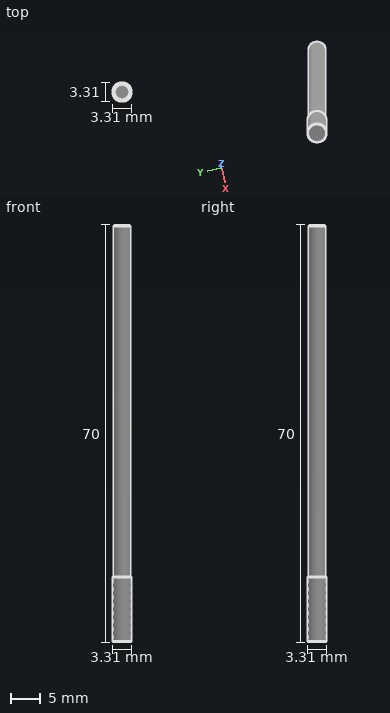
import cadquery as cq
import math

rod_length = 70.0
rod_diameter = 3.0
rod_chamfer = 0.3

sleeve_diameter = 3.31
sleeve_length = 11.09
sleeve_taper_angle = 30.0

rod_radius = rod_diameter / 2
sleeve_radius = sleeve_diameter / 2
sleeve_wall = sleeve_radius - rod_radius
sleeve_taper_height = sleeve_wall / math.tan(math.radians(sleeve_taper_angle))


def make_rod():
    """Solid round rod along Z, chamfered at its top end."""
    return (
        cq.Workplane("XY")
        .circle(rod_radius)
        .extrude(rod_length)
        .faces(">Z")
        .chamfer(rod_chamfer)
    )


def make_sleeve():
    """Thin sleeve, flush with the rod's bottom face, tapering down to the rod at both ends."""
    profile = [
        (rod_radius, 0),
        (sleeve_radius, sleeve_taper_height),
        (sleeve_radius, sleeve_length - sleeve_taper_height),
        (rod_radius, sleeve_length),
    ]
    return (
        cq.Workplane("XZ")
        .polyline(profile)
        .close()
        .revolve(360, (0, 0, 0), (0, 1, 0))
    )


rod = make_rod()
sleeve = make_sleeve()

result = cq.Compound.makeCompound([rod.val(), sleeve.val()])